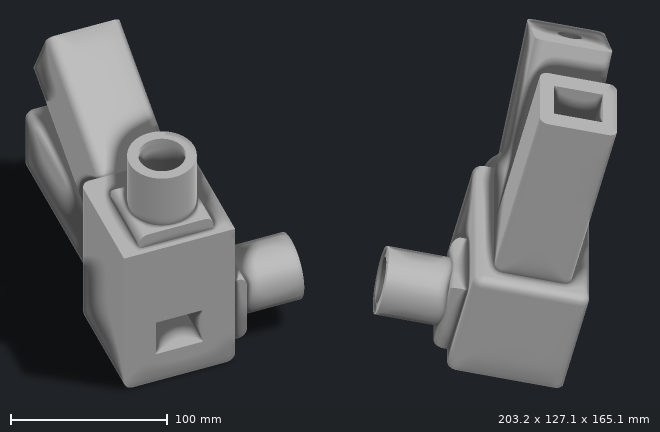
import cadquery as cq
import math

block_width = 76.2
block_height = 114.2
edge_radius = 6.3
beam_edge_radius = 5.7

beam_length = 127.0
beam_width = 50.8
beam_height = 50.8
beam_center_z = 37.2
channel_width = 32.3
channel_height = 27.5

arm_angle = 27.0
arm_height = 57.0
arm_end_x = -102.9
arm_end_z = 133.4
arm_hole_diameter = 16.0

pad_size = 50.8
pad_thickness = 10.2
pad_center_x = 45.5
rear_pad_center_z = 38.2
socket_diameter = 44.5
socket_bore = 30.5
socket_length = 40.7


def make_block():
    """Block rounded on its left upright edges and around the bottom."""
    block = cq.Workplane("XY").box(
        block_width, block_width, block_height, centered=(False, True, False)
    )
    left_uprights = block.edges("|Z and <X")
    bottom_rim = block.edges("<Z").edges("|X or <X")
    return left_uprights.add(bottom_rim).fillet(edge_radius)


def make_beam():
    """Horizontal beam running left from the block."""
    return (
        cq.Workplane("XY")
        .box(beam_length, beam_width, beam_height)
        .edges("|X")
        .fillet(beam_edge_radius)
        .translate((-beam_length / 2, 0, beam_center_z))
    )


def make_channel():
    """Rectangular passage through the beam and the block."""
    length = beam_length + block_width
    return cq.Workplane("XY").box(length, channel_width, channel_height).translate(
        (length / 2 - beam_length, 0, beam_center_z)
    )


def place_on_arm(shape):
    """Tilt a shape built along +X and move it to the free end of the arm."""
    return shape.rotate((0, 0, 0), (0, 1, 0), arm_angle).translate((arm_end_x, 0, arm_end_z))


arm_axis_length = -arm_end_x / math.cos(math.radians(arm_angle))
arm_length = arm_axis_length + arm_height / 2 * math.tan(math.radians(arm_angle))


def make_arm():
    """Solid inclined beam with rounded long edges."""
    arm = (
        cq.Workplane("XY")
        .box(arm_length, beam_width, arm_height, centered=(False, True, True))
        .edges("|X")
        .fillet(beam_edge_radius)
    )
    return place_on_arm(arm)


def make_arm_hole():
    """Blind hole along the arm axis, ending at the block face."""
    return place_on_arm(cq.Workplane("YZ").circle(arm_hole_diameter / 2).extrude(arm_axis_length))


def make_socket():
    """Pad with a bored tube, standing on the XY plane at the origin."""
    pad = cq.Workplane("XY").box(pad_size, pad_size, pad_thickness, centered=(True, True, False))
    pad = pad.edges(">Z").edges("|X or <X").fillet(edge_radius)
    tube = (
        cq.Workplane("XY")
        .circle(socket_diameter / 2)
        .extrude(pad_thickness + socket_length)
    )
    bore = (
        cq.Workplane("XY", origin=(0, 0, pad_thickness))
        .circle(socket_bore / 2)
        .extrude(socket_length)
    )
    return pad.union(tube).cut(bore)


top_socket = make_socket().translate((pad_center_x, 0, block_height))
rear_socket = (
    make_socket()
    .rotate((0, 0, 0), (1, 0, 0), -90)
    .translate((pad_center_x, block_width / 2, rear_pad_center_z))
)

result = (
    make_block()
    .union(make_beam())
    .union(make_arm())
    .cut(make_channel())
    .cut(make_arm_hole())
    .union(top_socket)
    .union(rear_socket)
)